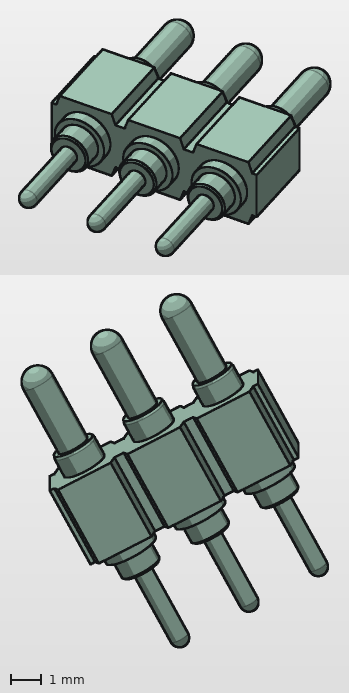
import cadquery as cq
import math

PIN_COUNT = 3
PITCH = 2.54
TOTAL_LENGTH = 10.59

HOUSING_HEIGHT = 2.54
HOUSING_LENGTH = 2.81
WEB_HEIGHT = 1.74
BLOCK_TOP_WIDTH = 1.93
BLOCK_BASE_WIDTH = 2.2

TAIL_DIAMETER = 0.64
SLEEVE_DIAMETER = 1.39
FLANGE_DIAMETER = 1.83
BARREL_DIAMETER = 1.48
PLUNGER_DIAMETER = 1.07

TAIL_LENGTH = 2.92
SLEEVE_LENGTH = 0.72
FLANGE_LENGTH = 0.41
BARREL_PROJECTION = 0.77

SLEEVE_CHAMFER = 0.06
BARREL_CHAMFER_LENGTH = 0.11
BARREL_CHAMFER_DEPTH = 0.03

Y_TAIL_TIP = -TOTAL_LENGTH / 2
Y_SLEEVE_FRONT = Y_TAIL_TIP + TAIL_LENGTH
Y_FLANGE_FRONT = Y_SLEEVE_FRONT + SLEEVE_LENGTH
Y_HOUSING_FRONT = Y_FLANGE_FRONT + FLANGE_LENGTH
Y_HOUSING_REAR = Y_HOUSING_FRONT + HOUSING_LENGTH
Y_BARREL_REAR = Y_HOUSING_REAR + BARREL_PROJECTION
Y_PLUNGER_TIP = TOTAL_LENGTH / 2

PIN_POSITIONS = [(i - (PIN_COUNT - 1) / 2) * PITCH for i in range(PIN_COUNT)]


def extrude_through_housing(sketch):
    """Extrude an XZ sketch lying on the housing front face back to its rear face."""
    return sketch.extrude(-HOUSING_LENGTH)


def housing_front_plane():
    return cq.Workplane("XZ", origin=(0, Y_HOUSING_FRONT, 0))


def make_housing():
    """Flat web carrying one eight-sided block per pin, bored right through for the barrels."""
    web = extrude_through_housing(housing_front_plane().rect(PIN_COUNT * PITCH, WEB_HEIGHT))

    half_top = BLOCK_TOP_WIDTH / 2
    half_base = BLOCK_BASE_WIDTH / 2
    block_outline = [
        (-half_base, WEB_HEIGHT / 2),
        (-half_top, HOUSING_HEIGHT / 2),
        (half_top, HOUSING_HEIGHT / 2),
        (half_base, WEB_HEIGHT / 2),
        (half_base, -WEB_HEIGHT / 2),
        (half_top, -HOUSING_HEIGHT / 2),
        (-half_top, -HOUSING_HEIGHT / 2),
        (-half_base, -WEB_HEIGHT / 2),
    ]
    block = extrude_through_housing(housing_front_plane().polyline(block_outline).close())

    housing = web
    for x in PIN_POSITIONS:
        housing = housing.union(block.translate((x, 0, 0)))

    bore_centres = [(x, 0) for x in PIN_POSITIONS]
    bores = extrude_through_housing(
        housing_front_plane().pushPoints(bore_centres).circle(BARREL_DIAMETER / 2)
    )
    return housing.cut(bores)


def make_pin(x):
    """Turned pin: domed tail, chamfered sleeve, flange, barrel and domed plunger."""
    tail_r = TAIL_DIAMETER / 2
    sleeve_r = SLEEVE_DIAMETER / 2
    flange_r = FLANGE_DIAMETER / 2
    barrel_r = BARREL_DIAMETER / 2
    plunger_r = PLUNGER_DIAMETER / 2
    dome_mid = math.sqrt(0.5)

    y_tail_dome = Y_TAIL_TIP + tail_r
    y_plunger_dome = Y_PLUNGER_TIP - plunger_r

    profile = (
        cq.Workplane("XY")
        .moveTo(0, Y_TAIL_TIP)
        .threePointArc((tail_r * dome_mid, y_tail_dome - tail_r * dome_mid), (tail_r, y_tail_dome))
        .lineTo(tail_r, Y_SLEEVE_FRONT)
        .lineTo(sleeve_r - SLEEVE_CHAMFER, Y_SLEEVE_FRONT)
        .lineTo(sleeve_r, Y_SLEEVE_FRONT + SLEEVE_CHAMFER)
        .lineTo(sleeve_r, Y_FLANGE_FRONT)
        .lineTo(flange_r, Y_FLANGE_FRONT)
        .lineTo(flange_r, Y_HOUSING_FRONT)
        .lineTo(barrel_r, Y_HOUSING_FRONT)
        .lineTo(barrel_r, Y_BARREL_REAR - BARREL_CHAMFER_LENGTH)
        .lineTo(barrel_r - BARREL_CHAMFER_DEPTH, Y_BARREL_REAR)
        .lineTo(plunger_r, Y_BARREL_REAR)
        .lineTo(plunger_r, y_plunger_dome)
        .threePointArc(
            (plunger_r * dome_mid, y_plunger_dome + plunger_r * dome_mid),
            (0, Y_PLUNGER_TIP),
        )
        .close()
    )
    pin = profile.revolve(360, (0, 0, 0), (0, 1, 0))
    return pin.translate((x, 0, 0))


housing = make_housing()
pins = [make_pin(x) for x in PIN_POSITIONS]

result = cq.Compound.makeCompound([housing.val(), *[pin.val() for pin in pins]])